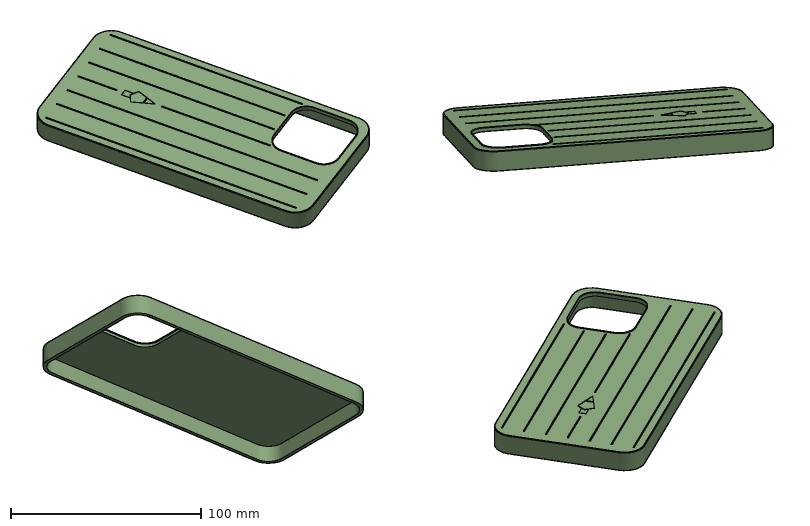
import cadquery as cq

length = 163.0
width = 82.0
total_height = 11.5
lip_height = 0.5
body_height = total_height - lip_height
corner_radius = 11.0
top_chamfer = 0.4
wall = 2.0
back_thickness = 2.0

window_length = 38.1
window_width = 37.0
window_radius = 8.8
window_center = (57.2, 17.6)
lip_width = 0.25

groove_width = 0.57
groove_depth = 0.2
groove_pitch = 12.0
groove_end = 74.5
groove_stop_at_side = 35.9
groove_stop_at_corner = 39.8

arrow_gap_start = -51.5
arrow_gap_end = -24.6
tail_start = -47.6
tail_half_width = 2.0
notch_x = -43.5
barb_x = -40.8
barb_half_width = 4.5
tip_x = -28.7
split_x = -34.5
split_width = 0.5
head_tail_gap = 0.2


def rounded_block(size_x, size_y, height, radius, center=(0, 0), base=0):
    """Upright block with rounded vertical edges, standing on height `base`."""
    block = cq.Workplane("XY", origin=(*center, base)).rect(size_x, size_y).extrude(height)
    return block.edges("|Z").fillet(radius)


def make_shell():
    """Tray with a chamfered back and a cavity open at the bottom."""
    outside = rounded_block(length, width, body_height, corner_radius)
    outside = outside.faces(">Z").edges().chamfer(top_chamfer)
    cavity = rounded_block(
        length - 2 * wall,
        width - 2 * wall,
        body_height - back_thickness,
        corner_radius - wall,
    )
    return outside.cut(cavity)


def add_camera_window(case):
    """Raise a thin lip around the window and cut the window through the back."""
    lip = rounded_block(
        window_length + 2 * lip_width,
        window_width + 2 * lip_width,
        back_thickness + lip_height,
        window_radius + lip_width,
        window_center,
        body_height - back_thickness,
    )
    opening = rounded_block(window_length, window_width, total_height, window_radius, window_center)
    return case.union(lip).cut(opening)


def engraving(points):
    """Shallow cutter below the back face with the given outline."""
    base = body_height - groove_depth
    return cq.Workplane("XY", origin=(0, 0, base)).polyline(points).close().extrude(groove_depth)


def groove(start_x, end_x, row):
    """Straight groove; rows count from the center line, positive toward +Y."""
    low_y = row * groove_pitch - groove_width / 2
    high_y = low_y + groove_width
    return engraving([(start_x, low_y), (end_x, low_y), (end_x, high_y), (start_x, high_y)])


def make_grooves():
    """Seven rows, shortened beside the window and interrupted at the arrow."""
    grooves = [groove(-groove_end, groove_end, row) for row in (-3, -2, -1)]
    grooves += [groove(-groove_end, groove_stop_at_side, row) for row in (1, 2)]
    grooves.append(groove(-groove_end, groove_stop_at_corner, 3))
    grooves.append(groove(-groove_end, arrow_gap_start, 0))
    grooves.append(groove(arrow_gap_end, groove_stop_at_corner, 0))
    return grooves


def head_half_width(x):
    """Half width of the arrow head at x, tapering from the barbs to the tip."""
    return barb_half_width * (tip_x - x) / (tip_x - barb_x)


def notch_edge(half_width):
    """X of the V-shaped rear edge of the head at the given distance from the center line."""
    return notch_x + (barb_x - notch_x) * half_width / barb_half_width


def make_arrow():
    """Tail, head and tip of the arrow, separated by narrow lands."""
    tail_corner_x = notch_edge(tail_half_width) - head_tail_gap
    tail = engraving([
        (tail_start, -tail_half_width),
        (tail_corner_x, -tail_half_width),
        (notch_x - head_tail_gap, 0),
        (tail_corner_x, tail_half_width),
        (tail_start, tail_half_width),
    ])
    head_end = split_x - split_width / 2
    tip_base = split_x + split_width / 2
    head = engraving([
        (notch_x, 0),
        (barb_x, -barb_half_width),
        (head_end, -head_half_width(head_end)),
        (head_end, head_half_width(head_end)),
        (barb_x, barb_half_width),
    ])
    tip = engraving([
        (tip_base, -head_half_width(tip_base)),
        (tip_x, 0),
        (tip_base, head_half_width(tip_base)),
    ])
    return [tail, head, tip]


result = add_camera_window(make_shell())
for cutter in make_grooves() + make_arrow():
    result = result.cut(cutter)